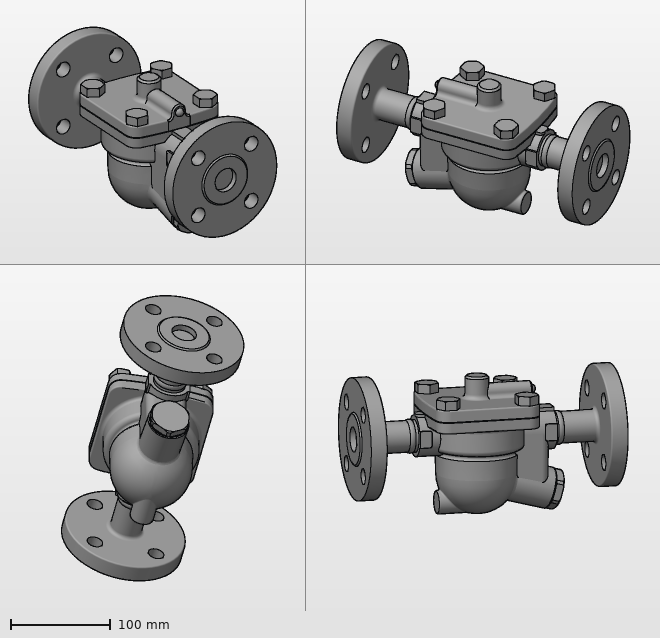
import cadquery as cq
import math

mid_arc = 1 - math.sqrt(0.5)

half_length = 135.0
body_x = -6.8

flange_radius = 124.0 / 2
flange_outer_x = 133.5
flange_inner_x = 116.5
flange_edge_radius = 1.5
raised_face_base_radius = 27.3
raised_face_tip_radius = 25.6
bolt_circle_radius = 44.5
bolt_hole_diameter = 16.0
bore_diameter = 25.0
bore_depth = 6.5

pipe_radius = 32.0 / 2
pipe_fillet = 3.8
neck_radius = 16.5
bead_inner_x = 74.2
bead_outer_x = 80.0
bead_height = 1.0

hub_end_x = 71.3
hub_radius = 42.0 / 2
pad_half_width = 8.6
pad_length = 12.5
pad_corner_radius = 2.2
side_pad_reach = 21.3
top_pad_height = 23.0
outlet_pad_start_x = 46.0
inlet_pad_start_x = 58.0
inlet_pad_half_width = 7.0
inlet_pad_corner_radius = 4.9

cover_half_length = 56.0
cover_half_width = 53.7
cover_side_bow = 3.8
cover_corner_radius = 13.0
body_flange_bottom_z = 11.5
cover_joint_z = 23.2
cover_top_z = 35.5
cover_edge_fillet = 1.5
joint_chamfer = 0.4
body_flange_edge_fillet = 1.4

bolt_spacing = 81.5
bolt_across_flats = 21.3
bolt_chamfer_radius = 11.3
bolt_head_height = 9.5

boss_radius = 24.0 / 2
boss_top_z = 58.5
boss_chamfer = 2.2
cover_feature_fillet = 4.9
tube_radius = 8.0
tube_top_z = 49.7
tube_end_x = 49.5
tube_end_chamfer = 1.5
button_radius = 4.5

upper_radius = 48.0
upper_bottom_z = -10.3
bowl_top_radius = 41.8
bowl_shoulder_z = -21.0
step_fillet = 5.7
under_flange_fillet = 3.5
dome_center_z = -41.3
dome_radius = 41.3

channel_end_x = 63.7
channel_bottom_z = -56.7
channel_foot_half_width = 19.7
channel_edge_radius = 7.8
strainer_angle = 15.0
strainer_radius = 42.0 / 2
strainer_length = 77.2
strainer_joint_fillet = 3.8
collar_radius = 19.5
collar_length = 1.4
plug_across_flats = 37.3
plug_corner_radius = 20.5
plug_end = 86.7
plug_chamfer = 1.4

drain_radius = 24.0 / 2
drain_z = -69.5
drain_end_x = -48.5
drain_chamfer = 0.8
drain_joint_fillet = 1.4


def cylinder_x(radius, x_start, x_end, z=0):
    """Cylinder along X at height z."""
    return cq.Workplane("YZ", origin=(x_start, 0, z)).circle(radius).extrude(x_end - x_start)


def hexagon(across_flats, height):
    """Hexagonal prism standing on the XY plane, with corners on the X axis."""
    return cq.Workplane("XY").polygon(6, across_flats / math.cos(math.pi / 6)).extrude(height)


def make_pipe_end():
    """Flange, pipe, weld bead and hub of the +X side."""
    fillet_start_x = flange_inner_x - pipe_fillet
    bead_middle_x = (bead_inner_x + bead_outer_x) / 2
    profile = (
        cq.Workplane("XY")
        .moveTo(0, 0)
        .lineTo(0, hub_radius)
        .lineTo(hub_end_x, hub_radius)
        .lineTo(hub_end_x, neck_radius)
        .lineTo(bead_inner_x, neck_radius)
        .threePointArc((bead_middle_x, pipe_radius + bead_height), (bead_outer_x, pipe_radius))
        .lineTo(fillet_start_x, pipe_radius)
        .threePointArc(
            (flange_inner_x - mid_arc * pipe_fillet, pipe_radius + mid_arc * pipe_fillet),
            (flange_inner_x, pipe_radius + pipe_fillet),
        )
        .lineTo(flange_inner_x, flange_radius - flange_edge_radius)
        .threePointArc(
            (flange_inner_x + mid_arc * flange_edge_radius, flange_radius - mid_arc * flange_edge_radius),
            (flange_inner_x + flange_edge_radius, flange_radius),
        )
        .lineTo(flange_outer_x, flange_radius)
        .lineTo(flange_outer_x, raised_face_base_radius)
        .lineTo(half_length, raised_face_tip_radius)
        .lineTo(half_length, 0)
        .close()
    )
    pipe_end = profile.revolve(360, (0, 0, 0), (1, 0, 0))
    bore = cylinder_x(bore_diameter / 2, half_length - bore_depth, half_length)
    bolt_holes = (
        cq.Workplane("YZ", origin=(flange_inner_x, 0, 0))
        .polarArray(bolt_circle_radius, 45, 360, 4)
        .circle(bolt_hole_diameter / 2)
        .extrude(flange_outer_x - flange_inner_x)
    )
    pad_center_x = hub_end_x - pad_length / 2
    side_pads = (
        cq.Workplane("XY")
        .box(pad_length, 2 * side_pad_reach, 2 * pad_half_width)
        .edges("|Y and <X")
        .fillet(pad_corner_radius)
        .translate((pad_center_x, 0, 0))
    )
    return pipe_end.cut(bore).cut(bolt_holes).union(side_pads)


def make_top_pad(start_x, half_width):
    """Flat pad on top of the +X hub, ending level with the hub."""
    return (
        cq.Workplane("XY")
        .box(hub_end_x - start_x, 2 * half_width, top_pad_height, centered=(False, True, False))
        .translate((start_x, 0, 0))
    )


def make_cover_plate(z_bottom, z_top):
    """Square plate with rounded corners and bowed ends."""
    corner_x = cover_half_length - cover_side_bow
    return (
        cq.Workplane("XY", origin=(body_x, 0, z_bottom))
        .moveTo(-corner_x, -cover_half_width)
        .lineTo(corner_x, -cover_half_width)
        .threePointArc((cover_half_length, 0), (corner_x, cover_half_width))
        .lineTo(-corner_x, cover_half_width)
        .threePointArc((-cover_half_length, 0), (-corner_x, -cover_half_width))
        .close()
        .extrude(z_top - z_bottom)
        .edges("|Z")
        .fillet(cover_corner_radius)
    )


def make_cover_bolts():
    """Four bolt heads, each turned a quarter turn from its neighbours."""
    head = hexagon(bolt_across_flats, bolt_head_height)
    chamfer_cone = (
        cq.Workplane("XY")
        .circle(2 * bolt_chamfer_radius)
        .workplane(offset=bolt_head_height)
        .circle(bolt_chamfer_radius)
        .loft()
    )
    head = head.intersect(chamfer_cone)
    bolts = cq.Workplane("XY")
    for x_side in (-1, 1):
        for y_side in (-1, 1):
            turn = 0 if x_side == y_side else 90
            spot = (body_x + x_side * bolt_spacing / 2, y_side * bolt_spacing / 2, cover_top_z)
            bolts = bolts.union(head.rotate((0, 0, 0), (0, 0, 1), turn).translate(spot))
    return bolts


def make_boss():
    """Upright valve boss with a filleted foot."""
    fillet = cover_feature_fillet
    return (
        cq.Workplane("XZ")
        .moveTo(0, cover_joint_z)
        .lineTo(boss_radius + fillet, cover_joint_z)
        .lineTo(boss_radius + fillet, cover_top_z)
        .threePointArc(
            (boss_radius + mid_arc * fillet, cover_top_z + mid_arc * fillet),
            (boss_radius, cover_top_z + fillet),
        )
        .lineTo(boss_radius, boss_top_z - boss_chamfer)
        .lineTo(boss_radius - boss_chamfer, boss_top_z)
        .lineTo(0, boss_top_z)
        .close()
        .revolve(360, (0, 0, 0), (0, 1, 0))
        .translate((body_x, 0, 0))
    )


def make_tube():
    """Round-topped tube from the boss to the +X edge, with filleted sides and an end button."""
    fillet = cover_feature_fillet
    axis_z = tube_top_z - tube_radius
    tube = (
        cq.Workplane("YZ", origin=(body_x, 0, 0))
        .moveTo(-tube_radius - fillet, cover_joint_z)
        .lineTo(tube_radius + fillet, cover_joint_z)
        .lineTo(tube_radius + fillet, cover_top_z)
        .threePointArc(
            (tube_radius + mid_arc * fillet, cover_top_z + mid_arc * fillet),
            (tube_radius, cover_top_z + fillet),
        )
        .lineTo(tube_radius, axis_z)
        .threePointArc((0, tube_top_z), (-tube_radius, axis_z))
        .lineTo(-tube_radius, cover_top_z + fillet)
        .threePointArc(
            (-tube_radius - mid_arc * fillet, cover_top_z + mid_arc * fillet),
            (-tube_radius - fillet, cover_top_z),
        )
        .close()
        .extrude(tube_end_x - body_x)
    )
    tube = tube.faces(">X").edges(">Z").chamfer(tube_end_chamfer)
    button = cq.Workplane("XY").sphere(button_radius).translate((tube_end_x, 0, axis_z))
    return tube.union(button)


def make_bowl():
    """Stepped, slightly drafted cylinder closed by a hemisphere."""
    fillet = under_flange_fillet
    return (
        cq.Workplane("XZ")
        .moveTo(0, body_flange_bottom_z)
        .lineTo(upper_radius + fillet, body_flange_bottom_z)
        .threePointArc(
            (upper_radius + mid_arc * fillet, body_flange_bottom_z - mid_arc * fillet),
            (upper_radius, body_flange_bottom_z - fillet),
        )
        .lineTo(upper_radius, upper_bottom_z)
        .threePointArc(
            (upper_radius - mid_arc * step_fillet, upper_bottom_z - (1 - mid_arc) * step_fillet),
            (upper_radius - step_fillet, upper_bottom_z - step_fillet),
        )
        .tangentArcPoint((bowl_top_radius, bowl_shoulder_z), relative=False)
        .lineTo(dome_radius, dome_center_z)
        .threePointArc(
            (dome_radius * math.cos(math.pi / 4), dome_center_z - dome_radius * math.cos(math.pi / 4)),
            (0, dome_center_z - dome_radius),
        )
        .close()
        .revolve(360, (0, 0, 0), (0, 1, 0))
        .translate((body_x, 0, 0))
    )


def make_channel():
    """Drafted channel from the outlet hub down into the strainer holder."""
    return (
        cq.Workplane("YZ", origin=(body_x, 0, 0))
        .polyline(
            [
                (-hub_radius, 0),
                (hub_radius, 0),
                (channel_foot_half_width, channel_bottom_z),
                (-channel_foot_half_width, channel_bottom_z),
            ]
        )
        .close()
        .extrude(channel_end_x - body_x)
        .faces(">X")
        .edges("not |Y")
        .fillet(channel_edge_radius)
    )


def make_strainer():
    """Inclined strainer holder with a collar and a round-cornered hexagonal plug."""
    holder = cq.Workplane("XY").circle(strainer_radius).extrude(strainer_length)
    collar = cq.Workplane("XY").circle(collar_radius).extrude(strainer_length + collar_length)
    plug_round = (
        cq.Workplane("XY").circle(plug_corner_radius).extrude(plug_end).faces(">Z").chamfer(plug_chamfer)
    )
    plug_start = strainer_length + collar_length
    plug = hexagon(plug_across_flats, plug_end - plug_start).translate((0, 0, plug_start))
    strainer = holder.union(collar).union(plug.intersect(plug_round))
    return strainer.rotate((0, 0, 0), (0, 1, 0), 90 + strainer_angle).translate((body_x, 0, dome_center_z))


def make_drain():
    """Drain boss pointing to -X near the bottom of the bowl."""
    drain = cylinder_x(drain_radius, drain_end_x, body_x, drain_z)
    return drain.faces("<X").chamfer(drain_chamfer)


pipe_end = make_pipe_end()
body_flange = make_cover_plate(body_flange_bottom_z, cover_joint_z)
body_flange = body_flange.faces("<Z").edges().fillet(body_flange_edge_fillet)
body_flange = body_flange.faces(">Z").edges().chamfer(joint_chamfer)
cover = make_cover_plate(cover_joint_z, cover_top_z)
cover = cover.faces(">Z").edges().fillet(cover_edge_fillet)
cover = cover.faces("<Z").edges().chamfer(joint_chamfer)
outlet_pad = make_top_pad(outlet_pad_start_x, pad_half_width)
inlet_pad = make_top_pad(inlet_pad_start_x, inlet_pad_half_width)
inlet_pad = inlet_pad.edges("|Z and >X").fillet(inlet_pad_corner_radius)
outlet = pipe_end.union(outlet_pad)
inlet = pipe_end.union(inlet_pad).mirror("YZ")

bowl = make_bowl().union(make_drain()).union(make_strainer())
drain_joint = cq.selectors.BoxSelector(
    (body_x - dome_radius, -drain_radius, dome_center_z - dome_radius),
    (body_x, drain_radius, drain_z + drain_radius),
)
bowl = bowl.edges(drain_joint).fillet(drain_joint_fillet)
strainer_joint = cq.selectors.BoxSelector(
    (body_x + dome_radius / 2, -strainer_radius, dome_center_z - dome_radius),
    (body_x + bowl_top_radius, strainer_radius, dome_center_z + strainer_radius),
)
bowl = bowl.edges(strainer_joint).fillet(strainer_joint_fillet)

casting = bowl.union(body_flange).union(inlet).union(outlet).union(make_channel())
result = casting.union(cover).union(make_boss()).union(make_tube()).union(make_cover_bolts())